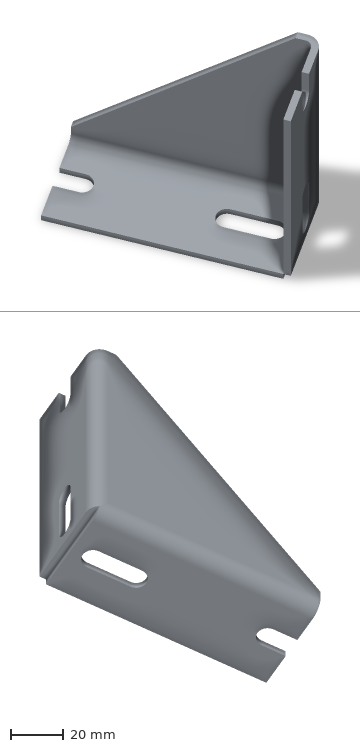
import cadquery as cq

length = 100.0
width = 42.0
thickness = 3.0
inner_radius = 3.0
outer_radius = inner_radius + thickness

end_edge = 10.0

slot_width = 9.0
slot_offset = 19.5
closed_slot_start = 8.0
closed_slot_end = 36.0
open_slot_depth = 15.0

front_y = -width / 2
back_y = width / 2
bend_y = back_y - outer_radius


def bottom_half():
    """Base flange, its bend and a full back plate, folded up from z = 0."""
    section = (
        cq.Workplane("YZ")
        .moveTo(front_y, 0)
        .lineTo(bend_y, 0)
        .radiusArc((back_y, outer_radius), -outer_radius)
        .lineTo(back_y, length)
        .lineTo(back_y - thickness, length)
        .lineTo(back_y - thickness, outer_radius)
        .radiusArc((bend_y, thickness), inner_radius)
        .lineTo(front_y, thickness)
        .close()
    )
    return section.extrude(length - thickness)


def slot_cutter(start, end):
    """Round-ended slot through the base, measured from the outer corner along X."""
    centre_x = length - (start + end) / 2
    return (
        cq.Workplane("XY")
        .center(centre_x, front_y + slot_offset)
        .slot2D(end - start, slot_width)
        .extrude(thickness)
    )


def mitred_outline():
    """Envelope of the base half: sloping edge, diagonal mitre and open outer corner."""
    slope_middle = ((length - end_edge) / 2, (length + end_edge) / 2)
    flange_end = length - thickness
    return (
        cq.Workplane("XZ", origin=(0, back_y, 0))
        .moveTo(0, 0)
        .lineTo(flange_end, 0)
        .lineTo(flange_end, thickness)
        .lineTo(*slope_middle)
        .lineTo(0, end_edge)
        .close()
        .extrude(width)
    )


base = bottom_half()
base = base.cut(slot_cutter(closed_slot_start, closed_slot_end))
base = base.cut(slot_cutter(length - open_slot_depth, length + slot_width))
base = base.intersect(mitred_outline())

upright = base.mirror((1, 0, 1), (length, 0, 0))

result = base.union(upright)